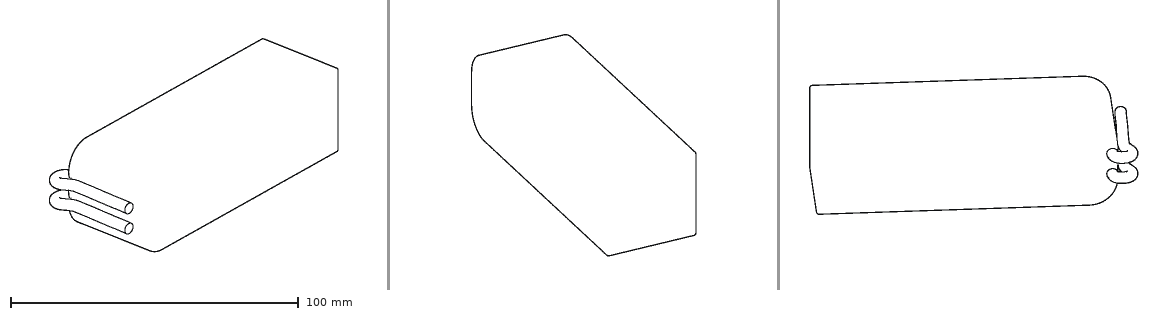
import cadquery as cq
import math

half_turn = math.pi
quarter_turn = half_turn / 2

total_width = 40.1
total_length = 111.9
body_height = 33.0

lead_reach_left = 5.1
lead_reach_front = 6.9
body_width = total_width - lead_reach_left
body_length = total_length - lead_reach_front
front_corner_radius = 10.0
edge_radius = 1.0

lead_diameter = 4.0
lead_radius = lead_diameter / 2
lead_spacing = 8.0
root_y = 1.9
root_depth = 1.7
left_line_x = lead_radius - lead_reach_left
front_line_y = lead_radius - lead_reach_front
root_bend_radius = -left_line_x
hook_bend_radius = 3.0
rise_angle = math.radians(30)
run_bend_radius = 4.5
run_start_y = -2.5
run_sag = 0.2
run_section_length = 9.7
tip_length = 4.9


def make_body():
    block = cq.Workplane("XY").box(
        body_width, body_length, body_height, centered=(False, False, True)
    )
    block = block.edges("|X and <Y").fillet(front_corner_radius)
    return block.faces("<X or >X or >Y").edges().fillet(edge_radius)


def arc_point(center, radius, angle):
    return (center[0] + radius * math.cos(angle), center[1] + radius * math.sin(angle))


def make_lead_path(z):
    root_center = (0, root_y - root_bend_radius)
    root_middle = arc_point(root_center, root_bend_radius, (quarter_turn + half_turn) / 2)
    root_end = (left_line_x, root_center[1])

    hook_center = (left_line_x + hook_bend_radius, front_line_y + hook_bend_radius)
    hook_end_angle = rise_angle - quarter_turn
    hook_middle_angle = (hook_end_angle - half_turn) / 2
    hook_middle = arc_point(hook_center, hook_bend_radius, hook_middle_angle)
    hook_end = arc_point(hook_center, hook_bend_radius, hook_end_angle)

    bend_rise = run_bend_radius * (1 - math.cos(rise_angle))
    bend_advance = run_bend_radius * math.sin(rise_angle)
    slope_end_y = run_start_y - bend_rise
    slope_end_x = hook_end[0] + (slope_end_y - hook_end[1]) / math.tan(rise_angle)
    run_start_x = slope_end_x + bend_advance

    run_middle = (run_start_x + run_section_length, run_start_y - run_sag)
    run_end = (run_middle[0] + run_section_length, run_middle[1] - run_sag)
    tip = (run_end[0] + tip_length, run_end[1] - run_sag)

    return (
        cq.Workplane("XY", origin=(0, 0, z))
        .moveTo(root_depth, root_y)
        .lineTo(0, root_y)
        .threePointArc(root_middle, root_end)
        .lineTo(left_line_x, hook_center[1])
        .threePointArc(hook_middle, hook_end)
        .lineTo(slope_end_x, slope_end_y)
        .tangentArcPoint((run_start_x, run_start_y), relative=False)
        .tangentArcPoint(run_middle, relative=False)
        .tangentArcPoint(run_end, relative=False)
        .tangentArcPoint(tip, relative=False)
    )


def make_lead(z):
    section = cq.Workplane("YZ", origin=(root_depth, root_y, z)).circle(lead_radius)
    return section.sweep(make_lead_path(z))


result = make_body()
for side in (-1, 1):
    result = result.union(make_lead(side * lead_spacing / 2))